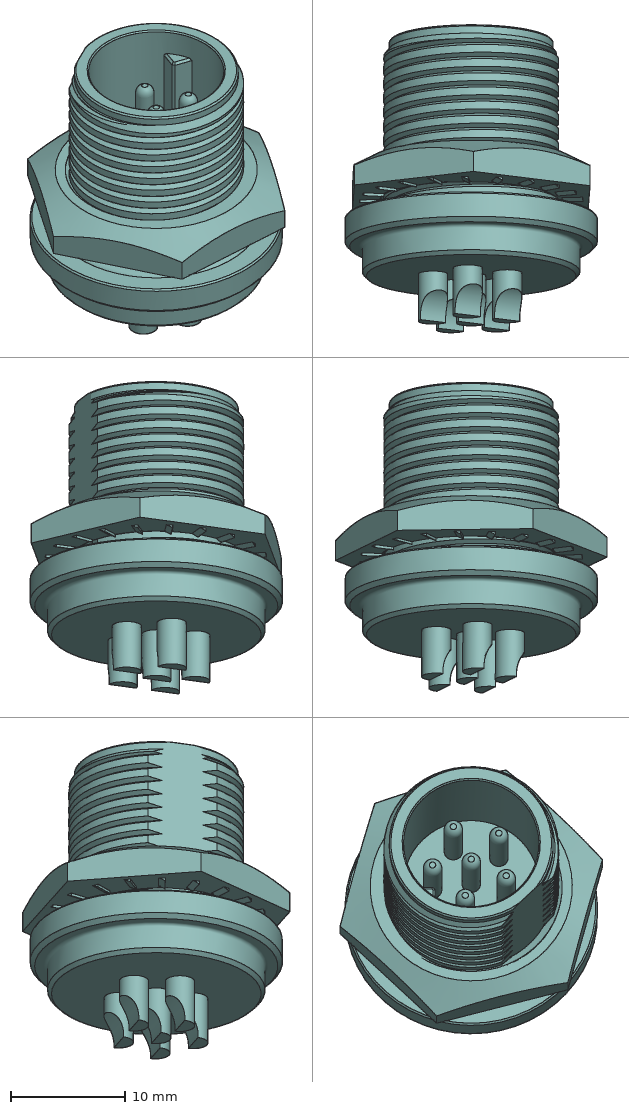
import cadquery as cq
import math


BASE_BOTTOM = 4.2
FLANGE_BOTTOM = 6.83
FLANGE_TOP = 9.45
NUT_BOTTOM = 11.06
NUT_TOP = 14.5
BORE_FLOOR = 15.12
PIN_TIP = 21.2
KEY_TOP = 22.8
BARREL_TOP = 25.2

BASE_DIAMETER = 19.05
BASE_CHAMFER = 0.35
FLANGE_DIAMETER = 22.1
FLANGE_BOTTOM_CHAMFER = 0.4
FLANGE_TOP_CHAMFER = 0.15
FLANGE_FILLET = 0.3

SEAL_RADIUS = 8.65
SEAL_HALF_WIDTH = 0.6
SEAL_HEIGHT = 0.28

NECK_RADIUS = 7.18
NECK_LENGTH = 0.78
NECK_CHAMFER = 0.15
LEAD_IN_LENGTH = 0.58
FLAT_DISTANCE = 6.95
BORE_RADIUS = 5.92
BORE_CHAMFER = 0.13

THREAD_RADIUS = 7.65
THREAD_ROOT_RADIUS = 7.2
GROOVE_WIDTH = 0.58
GROOVE_START = 10.05
GROOVE_START_ANGLE = 180
GROOVE_TURNS = 12
GROOVE_LENGTH = 15.22
THREAD_PITCH = GROOVE_LENGTH / GROOVE_TURNS
FLANK_SLOPE = GROOVE_WIDTH / 2 / (THREAD_RADIUS - THREAD_ROOT_RADIUS)
CUTTER_OVERSHOOT = 0.25

KEY_TIP_DISTANCE = 4.64
KEY_TIP_WIDTH = 0.3
KEY_CHAMFER = 0.2

RING_PIN_COUNT = 5
PIN_RING_RADIUS = 3.43
FIRST_PIN_ANGLE = -90
PIN_RADIUS = 0.8
PIN_TIP_RADIUS = 0.28
TAIL_RADIUS = 1.29
SCOOP_RADIUS = 2.65
SCOOP_STRAIGHT = 0.28

NUT_ACROSS_CORNERS = 23.81
NUT_TOP_RADIUS = 8.85
NUT_CORNER_DROP = 1.65
NUT_BORE_RADIUS = 7.96
NUT_THREAD_CLEARANCE = 0.03
TOOTH_COUNT = 20
TOOTH_WIDTH = 0.58
TOOTH_HEIGHT = 0.25
TOOTH_OUTER_RADIUS = 9.78


def cylinder(radius, bottom, top):
    return cq.Workplane("XY").workplane(offset=bottom).circle(radius).extrude(top - bottom)


def revolve_profile(profile):
    """Turn a closed (radius, height) profile into a solid of revolution about Z."""
    return profile.close().revolve(360, (0, 0, 0), (0, 1, 0))


def helical_vee(apex_radius, outer_radius, start, start_angle, turns):
    """A V-section helix with its point toward the axis and its open side at outer_radius."""
    half_width = (outer_radius - apex_radius) * FLANK_SLOPE
    path = cq.Wire.makeHelix(THREAD_PITCH, THREAD_PITCH * turns, apex_radius)
    vee = (
        cq.Workplane("XZ")
        .moveTo(apex_radius, 0)
        .lineTo(outer_radius, half_width)
        .lineTo(outer_radius, -half_width)
        .close()
        .sweep(cq.Workplane(obj=path), isFrenet=True)
    )
    return vee.rotate((0, 0, 0), (0, 0, 1), start_angle).translate((0, 0, start))


def make_base_and_flange():
    base_radius = BASE_DIAMETER / 2
    flange_radius = FLANGE_DIAMETER / 2
    fillet_turn = FLANGE_FILLET * (1 - math.sqrt(0.5))
    profile = (
        cq.Workplane("XZ")
        .moveTo(0, BASE_BOTTOM)
        .lineTo(base_radius - BASE_CHAMFER, BASE_BOTTOM)
        .lineTo(base_radius, BASE_BOTTOM + BASE_CHAMFER)
        .lineTo(base_radius, FLANGE_BOTTOM - FLANGE_FILLET)
        .threePointArc(
            (base_radius + fillet_turn, FLANGE_BOTTOM - fillet_turn),
            (base_radius + FLANGE_FILLET, FLANGE_BOTTOM),
        )
        .lineTo(flange_radius - FLANGE_BOTTOM_CHAMFER, FLANGE_BOTTOM)
        .lineTo(flange_radius, FLANGE_BOTTOM + FLANGE_BOTTOM_CHAMFER)
        .lineTo(flange_radius, FLANGE_TOP - FLANGE_TOP_CHAMFER)
        .lineTo(flange_radius - FLANGE_TOP_CHAMFER, FLANGE_TOP)
        .lineTo(SEAL_RADIUS + SEAL_HALF_WIDTH, FLANGE_TOP)
        .threePointArc(
            (SEAL_RADIUS, FLANGE_TOP + SEAL_HEIGHT),
            (SEAL_RADIUS - SEAL_HALF_WIDTH, FLANGE_TOP),
        )
        .lineTo(0, FLANGE_TOP)
    )
    return revolve_profile(profile)


def make_barrel():
    neck_bottom = BARREL_TOP - NECK_LENGTH
    profile = (
        cq.Workplane("XZ")
        .moveTo(0, FLANGE_BOTTOM)
        .lineTo(THREAD_RADIUS, FLANGE_BOTTOM)
        .lineTo(THREAD_RADIUS, neck_bottom - LEAD_IN_LENGTH)
        .lineTo(NECK_RADIUS, neck_bottom)
        .lineTo(NECK_RADIUS, BARREL_TOP - NECK_CHAMFER)
        .lineTo(NECK_RADIUS - NECK_CHAMFER, BARREL_TOP)
        .lineTo(0, BARREL_TOP)
    )
    groove = helical_vee(
        THREAD_ROOT_RADIUS,
        THREAD_RADIUS + CUTTER_OVERSHOOT,
        GROOVE_START,
        GROOVE_START_ANGLE,
        GROOVE_TURNS,
    )
    flat = cq.Workplane("XY").box(
        THREAD_RADIUS,
        2 * THREAD_RADIUS,
        BARREL_TOP,
        centered=(False, True, False),
    )
    flat = flat.translate((-FLAT_DISTANCE - THREAD_RADIUS, 0, 0))
    bore = cylinder(BORE_RADIUS, BORE_FLOOR, BARREL_TOP)
    rod_top = GROOVE_START + GROOVE_LENGTH + 2 * THREAD_PITCH
    threaded_rod = cylinder(THREAD_RADIUS, FLANGE_BOTTOM, rod_top).cut(groove)
    barrel = threaded_rod.intersect(revolve_profile(profile)).cut(flat).cut(bore)
    rim_edge = cq.selectors.RadiusNthSelector(0)
    return barrel.faces(">Z").edges(rim_edge).chamfer(BORE_CHAMFER)


def make_key():
    """A 45-degree wedge on the bore wall, rooted inside the wall."""
    root_distance = (BORE_RADIUS + NECK_RADIUS) / 2
    tip_half = KEY_TIP_WIDTH / 2
    root_half = tip_half + root_distance - KEY_TIP_DISTANCE
    key = (
        cq.Workplane("XY")
        .workplane(offset=BORE_FLOOR)
        .moveTo(-tip_half, KEY_TIP_DISTANCE)
        .lineTo(tip_half, KEY_TIP_DISTANCE)
        .lineTo(root_half, root_distance)
        .lineTo(-root_half, root_distance)
        .close()
        .extrude(KEY_TOP - BORE_FLOOR)
    )
    return key.faces(">Z").edges("not >Y").chamfer(KEY_CHAMFER)


def make_pin(x, y):
    """A pin with a cut-off ball tip and a thicker rear tail scooped away on its +Y side."""
    dome_height = math.sqrt(PIN_RADIUS**2 - PIN_TIP_RADIUS**2)
    contact_profile = (
        cq.Workplane("XZ")
        .moveTo(0, BASE_BOTTOM)
        .lineTo(PIN_RADIUS, BASE_BOTTOM)
        .lineTo(PIN_RADIUS, PIN_TIP - dome_height)
        .radiusArc((PIN_TIP_RADIUS, PIN_TIP), -PIN_RADIUS)
        .lineTo(0, PIN_TIP)
    )
    contact = revolve_profile(contact_profile)
    arc_drop = SCOOP_RADIUS * math.sqrt(0.5)
    scoop = (
        cq.Workplane("YZ")
        .lineTo(0, SCOOP_STRAIGHT)
        .threePointArc(
            (SCOOP_RADIUS - arc_drop, SCOOP_STRAIGHT + arc_drop),
            (SCOOP_RADIUS, SCOOP_STRAIGHT + SCOOP_RADIUS),
        )
        .lineTo(SCOOP_RADIUS, 0)
        .close()
        .extrude(TAIL_RADIUS, both=True)
    )
    tail = cylinder(TAIL_RADIUS, 0, FLANGE_BOTTOM).cut(scoop)
    return contact.union(tail).translate((x, y, 0))


def make_housing():
    housing = make_base_and_flange().union(make_barrel()).union(make_key())
    pin_places = [(0, 0)]
    for index in range(RING_PIN_COUNT):
        angle = math.radians(FIRST_PIN_ANGLE + index * 360 / RING_PIN_COUNT)
        pin_places.append((PIN_RING_RADIUS * math.cos(angle), PIN_RING_RADIUS * math.sin(angle)))
    for x, y in pin_places:
        housing = housing.union(make_pin(x, y))
    return housing


def make_locking_teeth():
    """Sawtooth teeth under the nut: each ramps down, then ends in an upright wall."""
    tooth = (
        cq.Workplane("XZ")
        .polyline([(0, 0), (TOOTH_WIDTH, 0), (TOOTH_WIDTH, -TOOTH_HEIGHT)])
        .close()
        .extrude(NUT_ACROSS_CORNERS / 2)
        .translate((0, 0, NUT_BOTTOM))
    )
    ring = cylinder(TOOTH_OUTER_RADIUS, NUT_BOTTOM - TOOTH_HEIGHT, NUT_BOTTOM)
    ring = ring.cut(cylinder(NUT_BORE_RADIUS, NUT_BOTTOM - TOOTH_HEIGHT, NUT_BOTTOM))
    tooth = tooth.intersect(ring)
    teeth = []
    for index in range(TOOTH_COUNT):
        angle = index * 360 / TOOTH_COUNT
        teeth.append(tooth.rotate((0, 0, 0), (0, 0, 1), angle))
    return teeth


def make_nut_thread():
    """The V ridge in the nut bore, following the barrel groove and trimmed to the nut faces."""
    first_turn = math.floor((NUT_BOTTOM - GROOVE_START) / THREAD_PITCH) - 1
    turns = math.ceil((NUT_TOP - NUT_BOTTOM) / THREAD_PITCH) + 2
    ridge = helical_vee(
        THREAD_ROOT_RADIUS + NUT_THREAD_CLEARANCE,
        NUT_BORE_RADIUS + CUTTER_OVERSHOOT / 2,
        GROOVE_START + first_turn * THREAD_PITCH,
        GROOVE_START_ANGLE,
        turns,
    )
    return ridge.intersect(cylinder(NUT_ACROSS_CORNERS / 2, NUT_BOTTOM, NUT_TOP))


def make_nut():
    corner_radius = NUT_ACROSS_CORNERS / 2
    hexagon = (
        cq.Workplane("XY")
        .workplane(offset=NUT_BOTTOM)
        .polygon(6, NUT_ACROSS_CORNERS)
        .extrude(NUT_TOP - NUT_BOTTOM)
    )
    crown_profile = (
        cq.Workplane("XZ")
        .moveTo(0, NUT_BOTTOM)
        .lineTo(corner_radius, NUT_BOTTOM)
        .lineTo(corner_radius, NUT_TOP - NUT_CORNER_DROP)
        .lineTo(NUT_TOP_RADIUS, NUT_TOP)
        .lineTo(0, NUT_TOP)
    )
    nut = hexagon.intersect(revolve_profile(crown_profile))
    nut = nut.cut(cylinder(NUT_BORE_RADIUS, NUT_BOTTOM, NUT_TOP))
    nut = nut.union(make_nut_thread())
    for tooth in make_locking_teeth():
        nut = nut.union(tooth)
    return nut


housing = make_housing()
nut = make_nut()

result = cq.Compound.makeCompound([housing.solids().val(), nut.solids().val()])